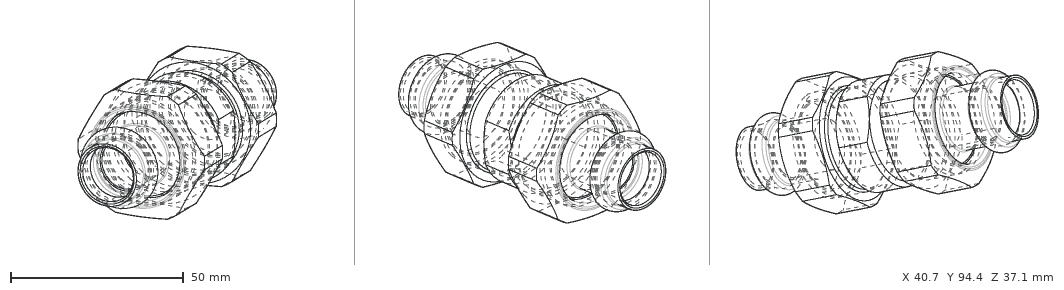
import cadquery as cq
import math


TOTAL_LENGTH = 94.4
TUBE_END = TOTAL_LENGTH / 2

HEXAGON_SIDES = 6
NUT_ACROSS_FLATS = 37.1
NUT_DIAMETER = 40.7
NUT_OUTER_FACE = 27.2
NUT_INNER_FACE = 11.1
NUT_OUTER_EDGE_RADIUS = 15.2
NUT_OUTER_CHAMFER_ANGLE = 30.0
NUT_INNER_EDGE_RADIUS = 18.2
NUT_INNER_CHAMFER = 0.9
NUT_OPENING_RADIUS = 26.9 / 2
NUT_EDGE_FILLET = 0.9

SHOULDER_FRONT = 22.5
SHOULDER_THICKNESS = 1.9
SHOULDER_BACK = SHOULDER_FRONT - SHOULDER_THICKNESS
SEAT_RADIUS = 15.7
SHOULDER_CONE_RADIUS = 12.9
SHOULDER_CONE_ANGLE = 45.0
SHOULDER_CONE_FILLET = 1.1

TUBE_RADIUS = 18.8 / 2
SOCKET_RADIUS = 16.2 / 2
TUBE_BORE_RADIUS = 15.1 / 2
SOCKET_DEPTH = 12.3
MOUTH_RADIUS = 8.7
MOUTH_CHAMFER_LENGTH = 0.6
BEAD_CENTRE = 39.1
BEAD_CREST_RADIUS = 24.25 / 2
BEAD_ARC_RADIUS = 2.55
BEAD_ROOT_FILLET = 0.8
BEAD_FLANK_ANGLE = 60.0
GROOVE_CREST_RADIUS = 10.1
GROOVE_ARC_RADIUS = 2.0
GROOVE_ROOT_FILLET = 0.4

NECK_RADIUS = 29.8 / 2
NECK_END = 10.5
COLLAR_RADIUS = 33.0 / 2
COLLAR_FLAT_DISTANCE = 30.0
COLLAR_FRONT = -3.6
COLLAR_BACK = 6.4
COLLAR_FRONT_CHAMFER = 0.85
COLLAR_BACK_CHAMFER = 1.1


def revolve_about_y(profile):
    """Turn a closed (radius, Y) profile about the Y axis."""
    return profile.close().revolve(360, (0, 0, 0), (0, 1, 0))


def bead_outline(profile, base_radius, crest_radius, arc_radius, root_fillet):
    """Continue a profile along a cylinder of base_radius, from the tube end inward, over a rounded bead."""
    angle = math.radians(BEAD_FLANK_ANGLE)
    arc_centre = crest_radius - arc_radius
    crest_edge_radius = arc_centre + arc_radius * math.cos(angle)
    crest_edge_offset = arc_radius * math.sin(angle)
    flank_foot_radius = base_radius + root_fillet * (1 - math.cos(angle))
    flank_rise = crest_edge_radius - flank_foot_radius
    flank_foot_offset = crest_edge_offset + flank_rise / math.tan(angle)
    root_offset = flank_foot_offset + root_fillet * math.sin(angle)
    root_mid_radius = base_radius + root_fillet * (1 - math.cos(angle / 2))
    root_mid_offset = root_offset - root_fillet * math.sin(angle / 2)
    return (
        profile
        .lineTo(base_radius, BEAD_CENTRE + root_offset)
        .threePointArc(
            (root_mid_radius, BEAD_CENTRE + root_mid_offset),
            (flank_foot_radius, BEAD_CENTRE + flank_foot_offset),
        )
        .lineTo(crest_edge_radius, BEAD_CENTRE + crest_edge_offset)
        .threePointArc(
            (crest_radius, BEAD_CENTRE),
            (crest_edge_radius, BEAD_CENTRE - crest_edge_offset),
        )
        .lineTo(flank_foot_radius, BEAD_CENTRE - flank_foot_offset)
        .threePointArc(
            (root_mid_radius, BEAD_CENTRE - root_mid_offset),
            (base_radius, BEAD_CENTRE - root_offset),
        )
    )


def make_tube():
    """Press tube on the +Y side: beaded socket with a seal groove, conical shoulder and stepped bore."""
    cone_angle = math.radians(SHOULDER_CONE_ANGLE)
    cone_start_radius = TUBE_RADIUS + SHOULDER_CONE_FILLET * (1 - math.cos(cone_angle))
    cone_start = SHOULDER_FRONT + (SHOULDER_CONE_RADIUS - cone_start_radius) / math.tan(cone_angle)
    straight_end = cone_start + SHOULDER_CONE_FILLET * math.sin(cone_angle)
    fillet_mid = (
        TUBE_RADIUS + SHOULDER_CONE_FILLET * (1 - math.cos(cone_angle / 2)),
        straight_end - SHOULDER_CONE_FILLET * math.sin(cone_angle / 2),
    )
    outside = cq.Workplane("XY").moveTo(0, TUBE_END).lineTo(TUBE_RADIUS, TUBE_END)
    outside = bead_outline(
        outside, TUBE_RADIUS, BEAD_CREST_RADIUS, BEAD_ARC_RADIUS, BEAD_ROOT_FILLET
    )
    outside = (
        outside
        .lineTo(TUBE_RADIUS, straight_end)
        .threePointArc(fillet_mid, (cone_start_radius, cone_start))
        .lineTo(SHOULDER_CONE_RADIUS, SHOULDER_FRONT)
        .lineTo(SEAT_RADIUS, SHOULDER_FRONT)
        .lineTo(SEAT_RADIUS, SHOULDER_BACK)
        .lineTo(0, SHOULDER_BACK)
    )

    socket_bottom = TUBE_END - SOCKET_DEPTH
    inside = (
        cq.Workplane("XY")
        .moveTo(0, TUBE_END)
        .lineTo(MOUTH_RADIUS, TUBE_END)
        .lineTo(SOCKET_RADIUS, TUBE_END - MOUTH_CHAMFER_LENGTH)
    )
    inside = bead_outline(
        inside,
        SOCKET_RADIUS,
        GROOVE_CREST_RADIUS,
        GROOVE_ARC_RADIUS,
        GROOVE_ROOT_FILLET,
    )
    inside = (
        inside
        .lineTo(SOCKET_RADIUS, socket_bottom)
        .lineTo(TUBE_BORE_RADIUS, socket_bottom)
        .lineTo(TUBE_BORE_RADIUS, SHOULDER_BACK)
        .lineTo(0, SHOULDER_BACK)
    )
    return revolve_about_y(outside).cut(revolve_about_y(inside))


def make_nut():
    """Union nut on the +Y side: chamfered hexagon with a stepped, rounded opening."""
    nut_radius = NUT_DIAMETER / 2
    outer_chamfer = (nut_radius - NUT_OUTER_EDGE_RADIUS) * math.tan(
        math.radians(NUT_OUTER_CHAMFER_ANGLE)
    )
    blank = revolve_about_y(
        cq.Workplane("XY")
        .moveTo(NUT_OPENING_RADIUS, NUT_OUTER_FACE)
        .lineTo(NUT_OUTER_EDGE_RADIUS, NUT_OUTER_FACE)
        .lineTo(nut_radius, NUT_OUTER_FACE - outer_chamfer)
        .lineTo(nut_radius, NUT_INNER_FACE + NUT_INNER_CHAMFER)
        .lineTo(NUT_INNER_EDGE_RADIUS, NUT_INNER_FACE)
        .lineTo(SEAT_RADIUS, NUT_INNER_FACE)
        .lineTo(SEAT_RADIUS, SHOULDER_FRONT)
        .lineTo(NUT_OPENING_RADIUS, SHOULDER_FRONT)
    )
    blank = blank.faces(">Y").edges().fillet(NUT_EDGE_FILLET)
    across_corners = NUT_ACROSS_FLATS / math.cos(math.pi / HEXAGON_SIDES)
    hexagon = (
        cq.Workplane("XZ", origin=(0, NUT_OUTER_FACE, 0))
        .polygon(HEXAGON_SIDES, across_corners)
        .extrude(NUT_OUTER_FACE - NUT_INNER_FACE)
    )
    return blank.intersect(hexagon)


def make_collar():
    """Chamfered collar of the centre body, with two wrench flats facing -X and +X."""
    ring = revolve_about_y(
        cq.Workplane("XY")
        .moveTo(0, COLLAR_FRONT - COLLAR_FRONT_CHAMFER)
        .lineTo(NECK_RADIUS, COLLAR_FRONT - COLLAR_FRONT_CHAMFER)
        .lineTo(COLLAR_RADIUS, COLLAR_FRONT)
        .lineTo(COLLAR_RADIUS, COLLAR_BACK)
        .lineTo(NECK_RADIUS, COLLAR_BACK + COLLAR_BACK_CHAMFER)
        .lineTo(0, COLLAR_BACK + COLLAR_BACK_CHAMFER)
    )
    between_flats = cq.Workplane("XY").box(COLLAR_FLAT_DISTANCE, TOTAL_LENGTH, 2 * COLLAR_RADIUS)
    return ring.intersect(between_flats)


def make_body():
    """Solid centre body: neck, two ends seated in the nuts, and the collar."""
    core = revolve_about_y(
        cq.Workplane("XY")
        .moveTo(0, SHOULDER_BACK)
        .lineTo(SEAT_RADIUS, SHOULDER_BACK)
        .lineTo(SEAT_RADIUS, NUT_INNER_FACE)
        .lineTo(NECK_RADIUS, NECK_END)
        .lineTo(NECK_RADIUS, -NECK_END)
        .lineTo(SEAT_RADIUS, -NUT_INNER_FACE)
        .lineTo(SEAT_RADIUS, -SHOULDER_BACK)
        .lineTo(0, -SHOULDER_BACK)
    )
    return core.union(make_collar())


body = make_body()
tubes = []
nuts = []
for turn in (0, 180):
    tubes.append(make_tube().rotate((0, 0, 0), (0, 0, 1), turn).val())
    nuts.append(make_nut().rotate((0, 0, 0), (0, 0, 1), turn).val())

result = cq.Compound.makeCompound([body.val(), *tubes, *nuts])